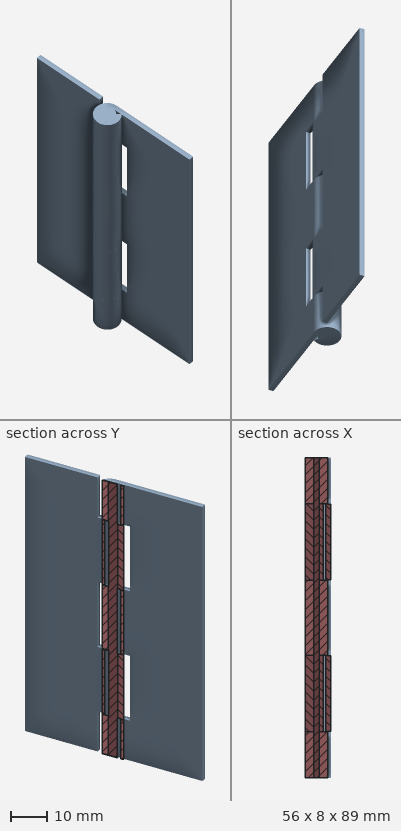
import cadquery as cq
import math

height = 89.0
width = 56.0
barrel_diameter = 8.0
sheet = 1.5
slot_reach = 5.1
inner_knuckle = 21.0
knuckle_count = 5
curl_end_angle = 40.0

outer_radius = barrel_diameter / 2
pin_radius = outer_radius - sheet
half_width = width / 2
end_knuckle = (height - (knuckle_count - 2) * inner_knuckle) / 2


def knuckle_span(index):
    """Bottom height and length of a knuckle, counted from the bottom."""
    if index == 0:
        return 0.0, end_knuckle
    bottom = end_knuckle + (index - 1) * inner_knuckle
    if index == knuckle_count - 1:
        return bottom, end_knuckle
    return bottom, inner_knuckle


def make_plate():
    """Flat part of a leaf, outside the slots, on the +X side."""
    return cq.Workplane("XY").box(
        half_width - slot_reach, sheet, height, centered=False
    ).translate((slot_reach, pin_radius, 0))


def make_knuckle(index):
    """Strip that leaves the plate and curls around the pin."""
    bottom, length = knuckle_span(index)
    angle = math.radians(curl_end_angle)
    end_x = math.cos(angle)
    end_y = math.sin(angle)
    strip = cq.Workplane("XY").box(
        slot_reach, sheet, length, centered=False
    ).translate((0, pin_radius, 0))
    curl = (
        cq.Workplane("XY")
        .moveTo(0, outer_radius)
        .threePointArc((-outer_radius, 0), (0, -outer_radius))
        .threePointArc((outer_radius, 0), (outer_radius * end_x, outer_radius * end_y))
        .lineTo(pin_radius * end_x, pin_radius * end_y)
        .threePointArc((pin_radius, 0), (0, -pin_radius))
        .threePointArc((-pin_radius, 0), (0, pin_radius))
        .close()
        .extrude(length)
    )
    return strip.union(curl).translate((0, 0, bottom))


def make_leaf(knuckle_indices):
    """One leaf on the +X side: a plate with its curled knuckles."""
    leaf = make_plate()
    for index in knuckle_indices:
        leaf = leaf.union(make_knuckle(index))
    return leaf


def make_pin():
    """Plain pin, flush with both ends of the barrel."""
    return cq.Workplane("XY").circle(pin_radius).extrude(height)


right_leaf = make_leaf(range(0, knuckle_count, 2))
left_leaf = make_leaf(range(1, knuckle_count, 2)).mirror("YZ")
pin = make_pin()

result = cq.Compound.makeCompound([right_leaf.solids().val(), left_leaf.solids().val(), pin.val()])